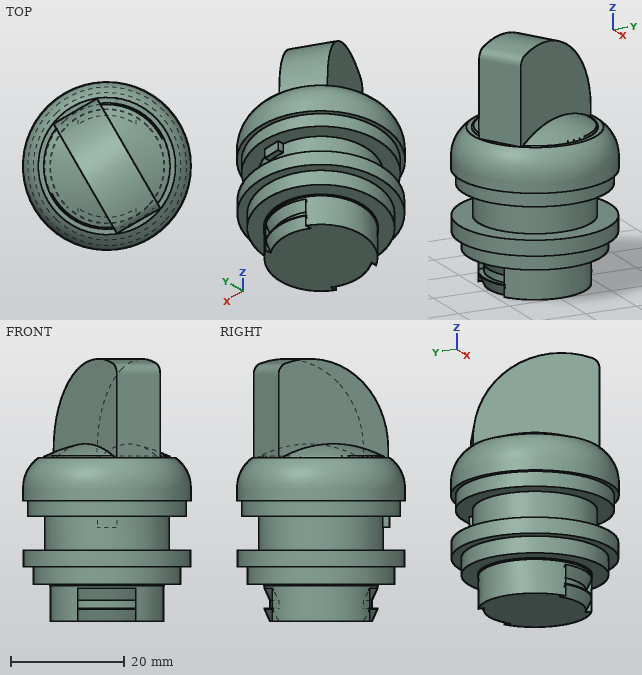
import cadquery as cq
import math

Z_NECK_TOP = 6.25
Z_LIP_TOP = 6.5
Z_NUT_TOP = 9.6
Z_FLANGE_TOP = 12.55
Z_BARREL_TOP = 18.5
Z_GASKET_TOP = 21.25
Z_BEZEL_BAND_TOP = 23.5
Z_BEZEL_TOP = 28.85
Z_KNOB_TOP = 46.3

NECK_DIA = 20.0
LIP_DIA = 20.25
NUT_DIA = 26.0
FLANGE_DIA = 29.5
BARREL_DIA = 22.0
GASKET_DIA = 28.0
BEZEL_DIA = 29.7
BEZEL_TOP_DIA = 24.2

CAP_DIA = 22.3
CAP_EDGE_FILLET = 0.3
CAP_HEIGHT = 2.85

NOTCH_WIDTH = 10.2
NOTCH_FLOOR_DIA = 18.0
HOOK_HEIGHT = 2.3
HOOK_TIP_LAND = 0.15
NOTCH_TAPER_BOTTOM = 3.7
NOTCH_TAPER_TOP = 5.8

LUG_WIDTH = 3.4
LUG_HEIGHT = 1.95
LUG_REACH = 12.1

KNOB_WIDTH = 8.85
KNOB_LENGTH = 22.35
KNOB_ARC_RADIUS = 15.9
KNOB_FILLET = 2.0
KNOB_ANGLE = -60.0


def make_body():
    """Turned body: neck, lip, nut, flange, barrel, gasket and rounded bezel."""
    bezel_radius = BEZEL_DIA / 2
    round_height = Z_BEZEL_TOP - Z_BEZEL_BAND_TOP
    round_width = (BEZEL_DIA - BEZEL_TOP_DIA) / 2
    round_radius = (round_width**2 + round_height**2) / (2 * round_width)
    half_sweep = math.asin(round_height / round_radius) / 2
    round_middle = (
        bezel_radius - round_radius * (1 - math.cos(half_sweep)),
        Z_BEZEL_BAND_TOP + round_radius * math.sin(half_sweep),
    )
    return (
        cq.Workplane("XZ")
        .lineTo(NECK_DIA / 2, 0)
        .lineTo(NECK_DIA / 2, Z_NECK_TOP)
        .lineTo(LIP_DIA / 2, Z_NECK_TOP)
        .lineTo(LIP_DIA / 2, Z_LIP_TOP)
        .lineTo(NUT_DIA / 2, Z_LIP_TOP)
        .lineTo(NUT_DIA / 2, Z_NUT_TOP)
        .lineTo(FLANGE_DIA / 2, Z_NUT_TOP)
        .lineTo(FLANGE_DIA / 2, Z_FLANGE_TOP)
        .lineTo(BARREL_DIA / 2, Z_FLANGE_TOP)
        .lineTo(BARREL_DIA / 2, Z_BARREL_TOP)
        .lineTo(GASKET_DIA / 2, Z_BARREL_TOP)
        .lineTo(GASKET_DIA / 2, Z_GASKET_TOP)
        .lineTo(bezel_radius, Z_GASKET_TOP)
        .lineTo(bezel_radius, Z_BEZEL_BAND_TOP)
        .threePointArc(round_middle, (BEZEL_TOP_DIA / 2, Z_BEZEL_TOP))
        .lineTo(0, Z_BEZEL_TOP)
        .close()
        .revolve(360, (0, 0, 0), (0, 1, 0))
    )


def make_cap():
    """Shallow spherical cap with a rounded rim."""
    rim_radius = CAP_DIA / 2
    dome_radius = rim_radius - CAP_EDGE_FILLET
    dome_rise = CAP_HEIGHT - CAP_EDGE_FILLET
    sphere_radius = (dome_radius**2 + dome_rise**2) / (2 * dome_rise)
    half_angle = math.asin(dome_radius / sphere_radius) / 2
    z_rim = Z_BEZEL_TOP + CAP_EDGE_FILLET
    z_apex = Z_BEZEL_TOP + CAP_HEIGHT
    dome_middle = (
        sphere_radius * math.sin(half_angle),
        z_apex - sphere_radius * (1 - math.cos(half_angle)),
    )
    return (
        cq.Workplane("XZ")
        .moveTo(0, Z_BEZEL_TOP)
        .lineTo(rim_radius, Z_BEZEL_TOP)
        .radiusArc((dome_radius, z_rim), -CAP_EDGE_FILLET)
        .threePointArc(dome_middle, (0, z_apex))
        .close()
        .revolve(360, (0, 0, 0), (0, 1, 0))
    )


def make_notches():
    """Cutter for both snap notches: a ring section trimmed to the notch width."""
    floor_radius = NOTCH_FLOOR_DIA / 2
    neck_radius = NECK_DIA / 2
    ring = (
        cq.Workplane("XZ")
        .moveTo(floor_radius, 0)
        .lineTo(neck_radius, HOOK_HEIGHT - HOOK_TIP_LAND)
        .lineTo(neck_radius, HOOK_HEIGHT)
        .lineTo(floor_radius, HOOK_HEIGHT)
        .lineTo(floor_radius, NOTCH_TAPER_BOTTOM)
        .lineTo(neck_radius, NOTCH_TAPER_TOP)
        .lineTo(LIP_DIA / 2, NOTCH_TAPER_TOP)
        .lineTo(LIP_DIA / 2, 0)
        .close()
        .revolve(360, (0, 0, 0), (0, 1, 0))
    )
    slab = cq.Workplane("XY").box(NOTCH_WIDTH, FLANGE_DIA, Z_NECK_TOP, centered=(True, True, False))
    return ring.intersect(slab)


def make_lug():
    """Small block on the +Y side of the barrel, just below the gasket ring."""
    return cq.Workplane("XY", origin=(0, 0, Z_BARREL_TOP - LUG_HEIGHT)).box(
        LUG_WIDTH, LUG_REACH, LUG_HEIGHT, centered=(True, False, False)
    )


def make_knob():
    """Grip with a curved back, a flat front and a rounded upper front edge."""
    half_length = KNOB_LENGTH / 2
    arc_center_x = KNOB_ARC_RADIUS - half_length
    arc_center_z = Z_KNOB_TOP - KNOB_ARC_RADIUS
    front_offset = half_length - arc_center_x
    front_top_z = arc_center_z + math.sqrt(KNOB_ARC_RADIUS**2 - front_offset**2)
    return (
        cq.Workplane("XZ", origin=(0, KNOB_WIDTH / 2, 0))
        .moveTo(-half_length, Z_BEZEL_TOP)
        .lineTo(-half_length, arc_center_z)
        .radiusArc((half_length, front_top_z), KNOB_ARC_RADIUS)
        .lineTo(half_length, Z_BEZEL_TOP)
        .close()
        .extrude(KNOB_WIDTH)
        .edges(cq.selectors.NearestToPointSelector((half_length, 0, front_top_z)))
        .fillet(KNOB_FILLET)
        .rotate((0, 0, 0), (0, 0, 1), KNOB_ANGLE)
    )


result = make_body().union(make_cap()).union(make_lug()).union(make_knob()).cut(make_notches())